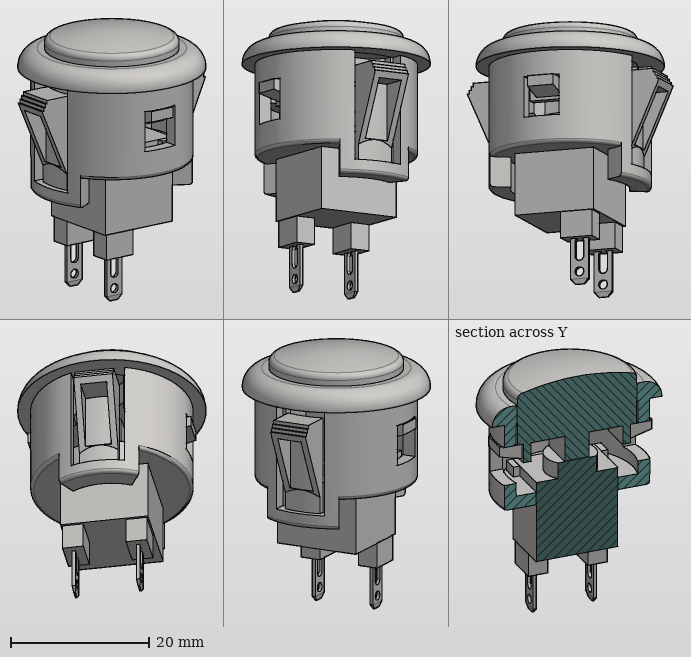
import cadquery as cq
import math


bezel_radius = 13.6
bezel_height = 2.9
bezel_round = 2.82
shell_radius = 23.5 / 2
bezel_hole_radius = 19.5 / 2
bore_radius = 9.85
shell_bottom = -13.65
floor_top = -11.6
bottom_round = 0.5

tab_bottom = -18.1
tab_inner_radius = 8.63
tab_half_angle = 30

clip_window_width = 7.85
clip_window_bottom = -16.05
clip_width = 5.7
clip_strip_radius = 10.7
clip_top = -1.9
clip_step_height = 0.5
clip_step_count = 3
clip_tip_reach = 29.73 / 2
clip_step_depth = 0.3
clip_slope_angle = 24
clip_recess_width = 3.8
clip_recess_top = -4.4
clip_recess_bottom = -12.7

latch_window_width = 5.4
latch_window_top = -3.55
latch_window_bottom = -9.57

switch_length = 12.82
switch_depth = 12.15
switch_top = -10.05
switch_bottom = -22.75
boss_radius = 7.9 / 2
boss_top = -7.53
terminal_spacing = 9.45
lug_width = 3.05
lug_depth = 4.85
lug_outer_x = 6.2
lug_y = -3.3
lug_bottom = -26.6
blade_y = -3.35
blade_width = 2.8
blade_thickness = 0.5
blade_bottom = -33.35
blade_taper_height = 0.8
blade_tip_width = 1.37
blade_tip_thickness = 0.25
blade_hole_diameter = 1.35
blade_hole_z = -31.5
blade_slot_top = -26.45
blade_slot_bottom = -29.85

post_thickness = 1.02
post_inner_y = 3.5

plunger_radius = bezel_hole_radius
cap_apex = 5.9
cap_edge_z = 3.75
dome_edge_radius = 9.0
dome_edge_z = 4.7
core_bottom = latch_window_top
skirt_inner_radius = 15.5 / 2
skirt_bottom = -6.1
skirt_slot_width = 6.82
skirt_chamfer = 0.55
notch_floor_width = 3.45
leg_outer_x = 8.45
leg_width = 5.9
leg_bottom = -6.55
hook_width = 3.95
hook_reach = 23.92 / 2
hook_lip_height = 1.55
hook_bottom = -6.08
stem_length = 3.92
stem_width = 6.28


def block(x0, x1, y0, y1, z0, z1):
    """Box between two opposite corners."""
    return cq.Workplane("XY").box(x1 - x0, y1 - y0, z1 - z0, centered=False).translate((x0, y0, z0))


def cylinder(radius, z0, z1):
    """Upright cylinder on the button axis."""
    return cq.Workplane("XY").workplane(offset=z0).circle(radius).extrude(z1 - z0)


def both_sides(shape):
    """The shape and its copy turned half a turn about the button axis."""
    return [shape, shape.rotate((0, 0, 0), (0, 0, 1), 180)]


def rounded_drum(z0, z1):
    """Solid drum as wide as the shell, with its bottom edge rounded."""
    return cylinder(shell_radius, z0, z1).faces("<Z").edges().fillet(bottom_round)


def bezel():
    return cylinder(bezel_radius, 0, bezel_height).faces(">Z").edges().fillet(bezel_round)


def wall():
    """Solid drum whose bottom part is cut away except for the two tabs that carry the clips."""
    side_angle = 90 - tab_half_angle
    reach = 2 * shell_radius
    half_width = reach * math.tan(math.radians(side_angle))
    cut_top = shell_bottom + bottom_round
    sector = (
        cq.Workplane("XY")
        .workplane(offset=tab_bottom)
        .polyline([(0, 0), (-reach, half_width), (-reach, -half_width)])
        .close()
        .extrude(cut_top - tab_bottom)
        .cut(rounded_drum(shell_bottom, 0))
    )
    drum = rounded_drum(tab_bottom, 0)
    for cutter in both_sides(sector):
        drum = drum.cut(cutter)
    return drum


def clip():
    """Spring strip with a stepped wedge on the -Y side, solid inwards until the bore is cut."""
    half_width = clip_width / 2
    strip = block(-half_width, half_width, -shell_radius, 0, clip_window_bottom, clip_top)
    strip = strip.intersect(cylinder(clip_strip_radius, clip_window_bottom, clip_top))

    steps = []
    for i in range(clip_step_count):
        y = -(clip_tip_reach - (clip_step_count - i) * clip_step_depth)
        z = clip_top - i * clip_step_height
        steps += [(y, z), (y, z - clip_step_height)]
    tip_z = clip_top - clip_step_count * clip_step_height
    slope_end_z = tip_z - (clip_tip_reach - bore_radius) / math.tan(math.radians(clip_slope_angle))
    outline = [(0, clip_top), *steps, (-clip_tip_reach, tip_z), (-bore_radius, slope_end_z), (0, slope_end_z)]
    wedge = cq.Workplane("YZ").polyline(outline).close().extrude(half_width, both=True)

    recess = block(
        -clip_recess_width / 2, clip_recess_width / 2, -clip_tip_reach, 0, clip_recess_bottom, clip_recess_top
    )
    recess = recess.cut(cylinder(clip_strip_radius, clip_recess_bottom, clip_recess_top))
    return strip.union(wedge).cut(recess)


def make_housing():
    housing = bezel().union(wall())

    half_window = clip_window_width / 2
    window = block(-half_window, half_window, -bezel_radius, 0, clip_window_bottom, 0)
    window = window.cut(cylinder(bore_radius, clip_window_bottom, 0))
    for opening in both_sides(window):
        housing = housing.cut(opening)
    for spring in both_sides(clip()):
        housing = housing.union(spring)

    housing = housing.cut(cylinder(bore_radius, floor_top, 0))
    housing = housing.cut(cylinder(bezel_hole_radius, 0, bezel_height))
    housing = housing.cut(cylinder(tab_inner_radius, tab_bottom, shell_bottom))

    half_latch = latch_window_width / 2
    latch_windows = block(
        -bezel_radius, bezel_radius, -half_latch, half_latch, latch_window_bottom, latch_window_top
    )
    housing = housing.cut(latch_windows)

    x = switch_length / 2
    y = switch_depth / 2
    for side in both_sides(block(-x - post_thickness, -x, post_inner_y, y, floor_top, switch_top)):
        housing = housing.union(side).union(side.mirror("XZ"))
    return housing.cut(block(-x, x, -y, y, tab_bottom, switch_top))


def hook():
    """Latch nose that reaches through the side window at -X."""
    outline = [
        (-skirt_inner_radius, core_bottom),
        (-hook_reach, core_bottom),
        (-hook_reach, core_bottom - hook_lip_height),
        (-leg_outer_x, hook_bottom),
        (-skirt_inner_radius, hook_bottom),
    ]
    return cq.Workplane("XZ").polyline(outline).close().extrude(hook_width / 2, both=True)


def make_plunger():
    dome_radius = (dome_edge_radius**2 + (cap_apex - dome_edge_z) ** 2) / (2 * (cap_apex - dome_edge_z))
    mid_radius = dome_edge_radius / 2
    mid_z = cap_apex - dome_radius + math.sqrt(dome_radius**2 - mid_radius**2)
    plunger = (
        cq.Workplane("XZ")
        .moveTo(0, core_bottom)
        .lineTo(plunger_radius, core_bottom)
        .lineTo(plunger_radius, cap_edge_z)
        .tangentArcPoint((dome_edge_radius, dome_edge_z), relative=False)
        .threePointArc((mid_radius, mid_z), (0, cap_apex))
        .close()
        .revolve(360, (0, 0, 0), (0, 1, 0))
    )
    skirt = cylinder(plunger_radius, skirt_bottom, core_bottom)
    plunger = plunger.union(skirt.cut(cylinder(skirt_inner_radius, skirt_bottom, core_bottom)))

    half_slot = skirt_slot_width / 2
    half_floor = notch_floor_width / 2
    half_flare = half_slot + skirt_chamfer
    slot_outline = [
        (-half_flare, skirt_bottom), (half_flare, skirt_bottom), (half_slot, skirt_bottom + skirt_chamfer),
        (half_slot, 0), (-half_slot, 0), (-half_slot, skirt_bottom + skirt_chamfer),
    ]
    slot = cq.Workplane("XZ").polyline(slot_outline).close().extrude(plunger_radius)
    slot = slot.cut(block(-half_slot, half_slot, -skirt_inner_radius, 0, core_bottom, 0))
    notch_y = -skirt_inner_radius + half_slot - half_floor
    notch_outline = [
        (-half_slot, -skirt_inner_radius), (half_slot, -skirt_inner_radius),
        (half_floor, notch_y), (-half_floor, notch_y),
    ]
    notch = (
        cq.Workplane("XY")
        .workplane(offset=core_bottom)
        .polyline(notch_outline)
        .close()
        .extrude(-core_bottom)
    )
    for cutter in both_sides(slot) + both_sides(notch):
        plunger = plunger.cut(cutter)

    half_leg = leg_width / 2
    flat = block(-plunger_radius, -leg_outer_x, -half_leg, half_leg, leg_bottom, core_bottom)
    for cutter in both_sides(flat):
        plunger = plunger.cut(cutter)
    leg_inner_x = math.sqrt(skirt_inner_radius**2 - half_leg**2)
    leg = block(-leg_outer_x, -leg_inner_x, -half_leg, half_leg, leg_bottom, core_bottom)
    for part in both_sides(leg.union(hook())):
        plunger = plunger.union(part)

    stem = block(-stem_length / 2, stem_length / 2, -stem_width / 2, stem_width / 2, boss_top, core_bottom)
    return plunger.union(stem)


def terminal_blade():
    """Solder blade centred on x = 0, with a tapered tip, a slot and a round hole."""
    taper_z = blade_bottom + blade_taper_height

    def tapered(plane, width, tip_width, depth):
        outline = [
            (-width / 2, lug_bottom), (-width / 2, taper_z), (-tip_width / 2, blade_bottom),
            (tip_width / 2, blade_bottom), (width / 2, taper_z), (width / 2, lug_bottom),
        ]
        return cq.Workplane(plane).polyline(outline).close().extrude(depth, both=True)

    blade = tapered("YZ", blade_width, blade_tip_width, blade_thickness)
    blade = blade.intersect(tapered("XZ", blade_thickness, blade_tip_thickness, blade_width))
    slot_length = blade_slot_top - blade_slot_bottom
    slot = (
        cq.Workplane("YZ")
        .center(0, (blade_slot_top + blade_slot_bottom) / 2)
        .slot2D(slot_length, blade_hole_diameter, 90)
        .extrude(blade_thickness, both=True)
    )
    hole = (
        cq.Workplane("YZ")
        .center(0, blade_hole_z)
        .circle(blade_hole_diameter / 2)
        .extrude(blade_thickness, both=True)
    )
    return blade.cut(slot).cut(hole).translate((0, blade_y, 0))


def make_switch():
    x = switch_length / 2
    y = switch_depth / 2
    switch = block(-x, x, -y, y, switch_bottom, switch_top)
    switch = switch.union(cylinder(boss_radius, switch_top, boss_top))
    for side in (-1, 1):
        lug_x = side * (lug_outer_x - lug_width / 2)
        lug = cq.Workplane("XY").box(lug_width, lug_depth, switch_bottom - lug_bottom)
        switch = switch.union(lug.translate((lug_x, lug_y, (switch_bottom + lug_bottom) / 2)))
        switch = switch.union(terminal_blade().translate((side * terminal_spacing / 2, 0, 0)))
    return switch


housing = make_housing()
plunger = make_plunger()
switch = make_switch()

result = cq.Compound.makeCompound([body.solids().val() for body in (housing, plunger, switch)])